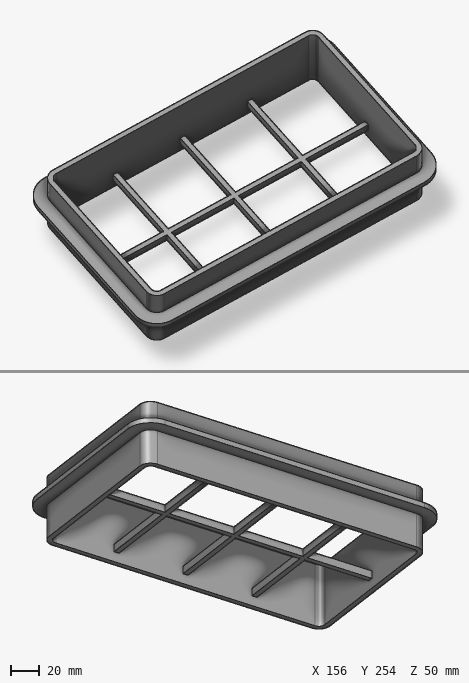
import cadquery as cq

frame_length_x = 136.0
frame_length_y = 234.0
frame_height = 50.0
frame_corner_radius = 9.0
wall_thickness = 4.0

flange_overhang = 10.0
flange_thickness = 4.0
flange_bottom_z = 27.0

bar_width = 4.0
bar_height = 6.0
bar_bottom_z = 8.0
cells_x = 2
cells_y = 4

opening_x = frame_length_x - 2 * wall_thickness
opening_y = frame_length_y - 2 * wall_thickness


def rounded_block(offset, bottom_z, height):
    """Block with the frame's outline, grown outward by offset (inward if negative)."""
    return (
        cq.Workplane("XY")
        .workplane(offset=bottom_z)
        .rect(frame_length_x + 2 * offset, frame_length_y + 2 * offset)
        .extrude(height)
        .edges("|Z")
        .fillet(frame_corner_radius + offset)
    )


def bar_centers(opening, cells):
    """Centers of the bars that split an opening into equal cells."""
    cell_size = (opening - (cells - 1) * bar_width) / cells
    pitch = cell_size + bar_width
    return [pitch * (i - cells / 2) for i in range(1, cells)]


def bar(length_x, length_y, center_x, center_y):
    """Straight bar of the grid."""
    return (
        cq.Workplane("XY")
        .workplane(offset=bar_bottom_z)
        .center(center_x, center_y)
        .rect(length_x, length_y)
        .extrude(bar_height)
    )


def flanged_frame():
    """Open frame with the flange around its outside."""
    outer_wall = rounded_block(0, 0, frame_height)
    flange = rounded_block(flange_overhang, flange_bottom_z, flange_thickness)
    opening = rounded_block(-wall_thickness, 0, frame_height)
    return outer_wall.union(flange).cut(opening)


def add_grid(body):
    """Join the bars to the frame; each bar ends in the middle of the wall."""
    for x in bar_centers(opening_x, cells_x):
        body = body.union(bar(bar_width, opening_y + wall_thickness, x, 0))
    for y in bar_centers(opening_y, cells_y):
        body = body.union(bar(opening_x + wall_thickness, bar_width, 0, y))
    return body


result = add_grid(flanged_frame())